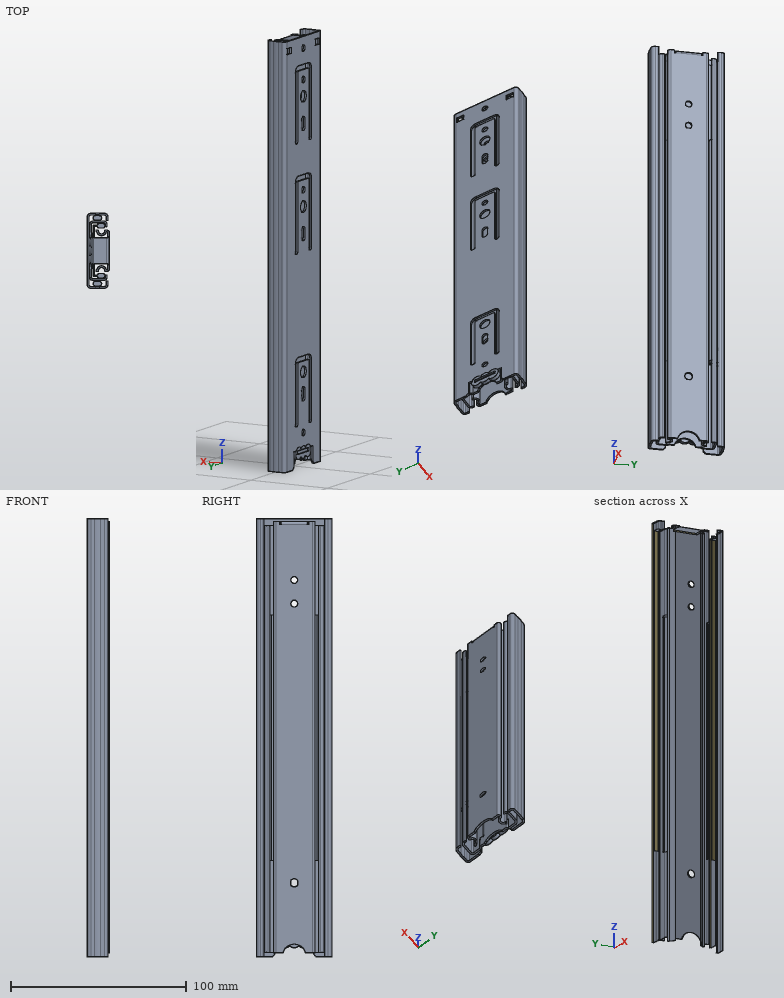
import cadquery as cq

LENGTH = 250
WIDTH = 43.2
DEPTH = 12.8
SHEET = 1.1
HALF_SHEET = SHEET / 2
CENTRE_OVERRUN = 2.5

OUTER_DEPTH = 12.0
OUTER_CORNER = 2.12
LIP_END_Y = 17.8
RACE_RISE = 0.2
RACE_START_X = 4.2
RACE_END_X = 7.5
FLANGE_Y = WIDTH / 2 - RACE_RISE - HALF_SHEET
HOLE_RADIUS = 1.88
ACCESS_RADIUS = 6.8 / 2
SLOT_WIDTH = 3.8
SLOT_LENGTH = 8.2
WINDOW_Y = 16.5
WINDOW_WIDTH = 4.8
WINDOW_Z = 244.2
WINDOW_HEIGHT = 3.5
END_HOLES_Z = (243.2, 20.0)

TONGUE_SLOT_WIDTH = 3.0
TONGUE_SLOT_Y = 8.0
TONGUE_SLOT_BEND = 2.0
TONGUE_SLOTS = ((232.2, 190.2), (168.2, 126.2), (63.0, 26.0))
UPPER_PILOT_DROP = 7.2
UPPER_ACCESS_DROP = 17.0
UPPER_SLOT_DROP = 32.8
LOWER_ACCESS_DROP = 7.8
LOWER_SLOT_DROP = 20.5

NOTCH_HALF_WIDTH = 11.0
NOTCH_HEIGHT = 10.5
NOTCH_FLARE = 1.5
BUMPER_Z = 8.8
BUMPER_LOBE_RADIUS = 7.2 / 2
BUMPER_PITCH = 5.2
BUMPER_THICKNESS = 2.2
BUMPER_SLOT_WIDTH = 13.5
BUMPER_SLOT_HEIGHT = 2.0
BUMPER_SLOT_Z = 9.2
BUMPER_SLOT_DEPTH = 1.0

MIDDLE_START_Z = 2.5
MIDDLE_END_Z = 246.0
MIDDLE_FLANGE_Y = 16.5
MIDDLE_BACK_X = 1.38
MIDDLE_CENTRE_X = BUMPER_THICKNESS
MIDDLE_CENTRE_Y = 6.8
MIDDLE_FOOT_CENTRE_Y = 9.2
MIDDLE_FOOT_TOP_Z = 13.0
MIDDLE_RAMP = 1.2
MIDDLE_CORNER = 1.5
MIDDLE_FRONT_X = 11.5
MIDDLE_LIP_Y = 14.2

INNER_START_Z = 2.2
INNER_END_Z = 248.5
INNER_HALF_WIDTH = 23.8 / 2
INNER_CORNER = 1.5
INNER_FLANGE_END_X = 5.5
INNER_RACE_START_X = 10.5
INNER_RACE_END_X = 6.0
INNER_RACE_DIP = 2.2
TAB_REACH_X = 3.2
TAB_HALF_WIDTH = 7.5
TAB_BEND = 1.8
RELIEF_WIDTH = 0.8
FOOT_ARC_Z = 0.8
FOOT_ARC_RADIUS = 6.5
SCREW_HOLES = ((215.0, 1.88), (201.5, 1.88), (42.2, 2.2))

RETAINER_START_Z = 55
INNER_RETAINER_END_Z = 195
INNER_RETAINER_Y = 14.2
INNER_RETAINER_X = 8.0
INNER_RETAINER_WIDTH = 4.5
INNER_RETAINER_THICKNESS = 2.8
BRIDGE_X = 3.5
BRIDGE_THICKNESS = 0.62
OUTER_RETAINER_END_Z = 246.0
OUTER_RETAINER_Y = 18.8
OUTER_RETAINER_WIDTH = 5.0
OUTER_RETAINER_THICKNESS = 2.8


def symmetric_rail(half_path, start_z, end_z):
    """Sheet of constant thickness along the path of the +y half, mirrored to the other half."""
    band = half_path.offset2D(HALF_SHEET).extrude(end_z - start_z).translate((0, 0, start_z))
    positive_y = cq.Workplane("XY").box(4 * DEPTH, WIDTH, 4 * LENGTH, centered=(True, False, True))
    half = band.intersect(positive_y)
    return half.union(half.mirror("XZ"))


def bar_along_x(outline):
    """Bar with an outline in the YZ plane that passes right through the slide."""
    return outline.extrude(2 * DEPTH, both=True)


def round_cutter(y, z, radius):
    return bar_along_x(cq.Workplane("YZ").center(y, z).circle(radius))


def slot_cutter(z):
    return bar_along_x(cq.Workplane("YZ").center(0, z).slot2D(SLOT_LENGTH, SLOT_WIDTH, 90))


def tongue_slot_cutter(top_z, bottom_z):
    """Slot of constant width along an upside-down U."""
    shoulder_z = top_z - TONGUE_SLOT_BEND
    shoulder_y = TONGUE_SLOT_Y - TONGUE_SLOT_BEND
    path = (
        cq.Workplane("YZ")
        .moveTo(-TONGUE_SLOT_Y, bottom_z)
        .lineTo(-TONGUE_SLOT_Y, shoulder_z)
        .tangentArcPoint((-shoulder_y, top_z), relative=False)
        .lineTo(shoulder_y, top_z)
        .tangentArcPoint((TONGUE_SLOT_Y, shoulder_z), relative=False)
        .lineTo(TONGUE_SLOT_Y, bottom_z)
    )
    return bar_along_x(path.offset2D(TONGUE_SLOT_WIDTH / 2))


def bumper_outline():
    """Three overlapping round lobes in a row, right through the slide."""
    lobes = cq.Workplane("YZ")
    for step in (-1, 0, 1):
        lobes = lobes.union(round_cutter(step * BUMPER_PITCH, BUMPER_Z, BUMPER_LOBE_RADIUS))
    return lobes


def make_outer_rail():
    bend = OUTER_CORNER - HALF_SHEET
    front_x = OUTER_DEPTH - HALF_SHEET
    path = (
        cq.Workplane("XY")
        .moveTo(HALF_SHEET, -CENTRE_OVERRUN)
        .lineTo(HALF_SHEET, FLANGE_Y - bend)
        .tangentArcPoint((HALF_SHEET + bend, FLANGE_Y), relative=False)
        .lineTo(RACE_START_X, FLANGE_Y)
        .threePointArc(
            ((RACE_START_X + RACE_END_X) / 2, FLANGE_Y + RACE_RISE),
            (RACE_END_X, FLANGE_Y),
        )
        .lineTo(front_x - bend, FLANGE_Y)
        .tangentArcPoint((front_x, FLANGE_Y - bend), relative=False)
        .lineTo(front_x, LIP_END_Y)
    )
    rail = symmetric_rail(path, 0, LENGTH)

    for top_z, bottom_z in TONGUE_SLOTS:
        rail = rail.cut(tongue_slot_cutter(top_z, bottom_z))
    for top_z, _ in TONGUE_SLOTS[:2]:
        rail = rail.cut(round_cutter(0, top_z - UPPER_PILOT_DROP, HOLE_RADIUS))
        rail = rail.cut(round_cutter(0, top_z - UPPER_ACCESS_DROP, ACCESS_RADIUS))
        rail = rail.cut(slot_cutter(top_z - UPPER_SLOT_DROP))
    lower_top_z = TONGUE_SLOTS[2][0]
    rail = rail.cut(round_cutter(0, lower_top_z - LOWER_ACCESS_DROP, ACCESS_RADIUS))
    rail = rail.cut(slot_cutter(lower_top_z - LOWER_SLOT_DROP))
    for z in END_HOLES_Z:
        rail = rail.cut(round_cutter(0, z, HOLE_RADIUS))
    for side in (-1, 1):
        window = cq.Workplane("YZ").center(side * WINDOW_Y, WINDOW_Z).rect(WINDOW_WIDTH, WINDOW_HEIGHT)
        rail = rail.cut(window.extrude(SHEET))

    flared = NOTCH_HALF_WIDTH + NOTCH_FLARE
    notch = (
        cq.Workplane("YZ")
        .moveTo(-flared, 0)
        .lineTo(-NOTCH_HALF_WIDTH, NOTCH_FLARE)
        .lineTo(-NOTCH_HALF_WIDTH, NOTCH_HEIGHT)
        .lineTo(NOTCH_HALF_WIDTH, NOTCH_HEIGHT)
        .lineTo(NOTCH_HALF_WIDTH, NOTCH_FLARE)
        .lineTo(flared, 0)
        .close()
        .extrude(SHEET)
    )
    return rail.cut(notch).cut(bumper_outline())


def make_bumper():
    slab = cq.Workplane("XY").box(BUMPER_THICKNESS, WIDTH, LENGTH, centered=(False, True, True))
    slot = cq.Workplane("YZ").center(0, BUMPER_SLOT_Z).rect(BUMPER_SLOT_WIDTH, BUMPER_SLOT_HEIGHT)
    return bumper_outline().intersect(slab).cut(slot.extrude(BUMPER_SLOT_DEPTH))


def cut_holes_and_foot(rail):
    for z, radius in SCREW_HOLES:
        rail = rail.cut(round_cutter(0, z, radius))
    return rail.cut(round_cutter(0, FOOT_ARC_Z, FOOT_ARC_RADIUS))


def intermediate_section(centre_y, start_z, end_z):
    centre_x = MIDDLE_CENTRE_X + HALF_SHEET
    back_x = MIDDLE_BACK_X + HALF_SHEET
    front_x = MIDDLE_FRONT_X - HALF_SHEET
    path = (
        cq.Workplane("XY")
        .moveTo(centre_x, -CENTRE_OVERRUN)
        .lineTo(centre_x, centre_y)
        .lineTo(back_x, centre_y + MIDDLE_RAMP)
        .lineTo(back_x, MIDDLE_FLANGE_Y - MIDDLE_CORNER)
        .tangentArcPoint((back_x + MIDDLE_CORNER, MIDDLE_FLANGE_Y), relative=False)
        .lineTo(front_x - MIDDLE_CORNER, MIDDLE_FLANGE_Y)
        .tangentArcPoint((front_x, MIDDLE_FLANGE_Y - MIDDLE_CORNER), relative=False)
        .lineTo(front_x, MIDDLE_LIP_Y)
    )
    return symmetric_rail(path, start_z, end_z)


def make_intermediate_rail():
    foot = intermediate_section(MIDDLE_FOOT_CENTRE_Y, MIDDLE_START_Z, MIDDLE_FOOT_TOP_Z)
    body = intermediate_section(MIDDLE_CENTRE_Y, MIDDLE_FOOT_TOP_Z, MIDDLE_END_Z)
    return cut_holes_and_foot(foot.union(body))


def make_inner_rail():
    web_x = DEPTH - HALF_SHEET
    flange_y = INNER_HALF_WIDTH - HALF_SHEET
    bend = INNER_CORNER - HALF_SHEET
    path = (
        cq.Workplane("XY")
        .moveTo(web_x, -CENTRE_OVERRUN)
        .lineTo(web_x, flange_y - bend)
        .tangentArcPoint((web_x - bend, flange_y), relative=False)
        .lineTo(INNER_RACE_START_X, flange_y)
        .threePointArc(
            ((INNER_RACE_START_X + INNER_RACE_END_X) / 2, flange_y - INNER_RACE_DIP),
            (INNER_RACE_END_X, flange_y),
        )
        .lineTo(INNER_FLANGE_END_X, flange_y)
    )
    rail = symmetric_rail(path, INNER_START_Z, INNER_END_Z)

    bend_z = INNER_END_Z - TAB_BEND
    tab = (
        cq.Workplane("XZ")
        .moveTo(TAB_REACH_X, INNER_END_Z)
        .lineTo(DEPTH - TAB_BEND, INNER_END_Z)
        .tangentArcPoint((DEPTH, bend_z), relative=False)
        .lineTo(DEPTH - SHEET, bend_z)
        .tangentArcPoint((DEPTH - TAB_BEND, INNER_END_Z - SHEET), relative=False)
        .lineTo(TAB_REACH_X, INNER_END_Z - SHEET)
        .close()
        .extrude(TAB_HALF_WIDTH, both=True)
    )
    clearance = cq.Workplane("XY").box(
        SHEET, 2 * (TAB_HALF_WIDTH + RELIEF_WIDTH), TAB_BEND, centered=(False, True, False)
    )
    return cut_holes_and_foot(rail.cut(clearance.translate((DEPTH - SHEET, 0, bend_z))).union(tab))


def retainer_strip(x, y, width, thickness, end_z):
    """Oblong strip that holds one row of balls."""
    strip = cq.Workplane("XY").center(x, y).slot2D(width, thickness)
    return strip.extrude(end_z - RETAINER_START_Z).translate((0, 0, RETAINER_START_Z))


def make_inner_retainer():
    """Two strips joined by a thin U-shaped bridge in front of the intermediate web."""
    height = INNER_RETAINER_END_Z - RETAINER_START_Z
    bridge_x = BRIDGE_X + BRIDGE_THICKNESS / 2
    bridge_path = (
        cq.Workplane("XY")
        .moveTo(INNER_RETAINER_X, -INNER_RETAINER_Y)
        .lineTo(bridge_x, -INNER_RETAINER_Y)
        .lineTo(bridge_x, INNER_RETAINER_Y)
        .lineTo(INNER_RETAINER_X, INNER_RETAINER_Y)
    )
    retainer = bridge_path.offset2D(BRIDGE_THICKNESS / 2).extrude(height).translate((0, 0, RETAINER_START_Z))
    for side in (-1, 1):
        strip = retainer_strip(
            INNER_RETAINER_X,
            side * INNER_RETAINER_Y,
            INNER_RETAINER_WIDTH,
            INNER_RETAINER_THICKNESS,
            INNER_RETAINER_END_Z,
        )
        retainer = retainer.union(strip)
    return retainer


def make_outer_retainer(side):
    return retainer_strip(
        (RACE_START_X + RACE_END_X) / 2,
        side * OUTER_RETAINER_Y,
        OUTER_RETAINER_WIDTH,
        OUTER_RETAINER_THICKNESS,
        OUTER_RETAINER_END_Z,
    )


outer_rail = make_outer_rail()
bumper = make_bumper()
intermediate_rail = make_intermediate_rail()
inner_rail = make_inner_rail()
inner_retainer = make_inner_retainer()
outer_retainers = [make_outer_retainer(side) for side in (-1, 1)]

result = cq.Compound.makeCompound(
    [
        outer_rail.val(),
        bumper.val(),
        intermediate_rail.val(),
        inner_rail.val(),
        inner_retainer.val(),
        *[retainer.val() for retainer in outer_retainers],
    ]
)